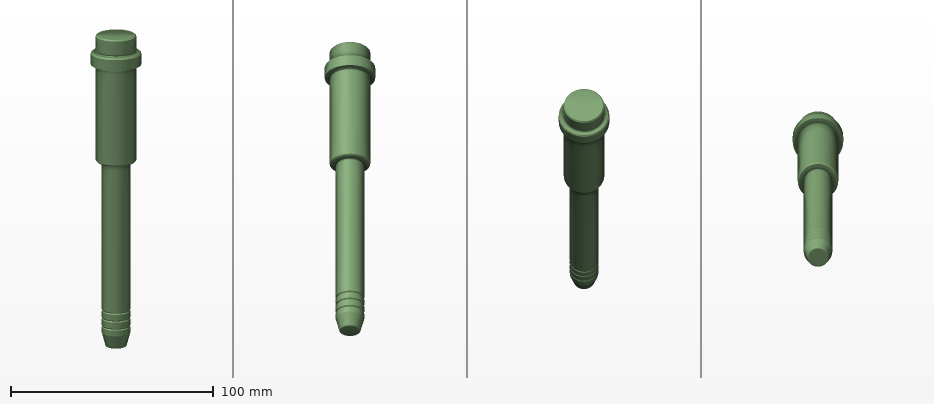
import cadquery as cq

total_length = 160.0
flange_radius = 12.5
body_radius = 10.0
stem_radius = 7.0
flange_top = 151.2
flange_bottom = 145.0
body_bottom = 95.0
edge_chamfer = 0.6

relief_depth = 0.5
head_relief_width = 1.0
body_relief_width = 1.0
stem_relief_width = 1.0

groove_heights = (18.5, 14.5, 10.4)
groove_width = 1.0
groove_depth = 0.5

taper_height = 7.0
tip_radius = 5.1
tip_round = 0.8


def cylinder(radius, bottom, top):
    """Cylinder on the pin axis between two heights."""
    return cq.Workplane("XY").workplane(offset=bottom).circle(radius).extrude(top - bottom)


def cut_groove(solid, radius, depth, bottom, width):
    """Cut a square ring groove into a cylinder of the given radius."""
    ring = cylinder(radius, bottom, bottom + width).cut(cylinder(radius - depth, bottom, bottom + width))
    return solid.cut(ring)


def cut_v_groove(solid, radius, depth, height, width):
    """Cut a V-shaped ring groove centred on a height."""
    ring = (
        cq.Workplane("XZ")
        .moveTo(radius, height - width / 2)
        .lineTo(radius - depth, height)
        .lineTo(radius, height + width / 2)
        .close()
        .revolve(360, (0, 0, 0), (0, 1, 0))
    )
    return solid.cut(ring)


def make_head():
    head = cylinder(body_radius, flange_top, total_length).faces(">Z").edges().chamfer(edge_chamfer)
    return cut_v_groove(head, body_radius, relief_depth, flange_top + head_relief_width / 2, head_relief_width)


def make_flange():
    return cylinder(flange_radius, flange_bottom, flange_top).faces(">Z").edges().chamfer(edge_chamfer)


def make_body():
    body = cylinder(body_radius, body_bottom, flange_bottom).faces("<Z").edges().chamfer(edge_chamfer)
    relief_height = flange_bottom - body_relief_width / 2
    return cut_v_groove(body, body_radius, relief_depth, relief_height, body_relief_width)


def make_stem():
    stem = cylinder(stem_radius, taper_height, body_bottom)
    stem = cut_groove(stem, stem_radius, relief_depth, body_bottom - stem_relief_width, stem_relief_width)
    for height in groove_heights:
        stem = cut_v_groove(stem, stem_radius, groove_depth, height, groove_width)
    return stem


def make_tip():
    tip = (
        cq.Workplane("XY")
        .circle(tip_radius)
        .workplane(offset=taper_height)
        .circle(stem_radius)
        .loft(ruled=True)
    )
    return tip.faces("<Z").edges().fillet(tip_round)


result = make_head().union(make_flange()).union(make_body()).union(make_stem()).union(make_tip())